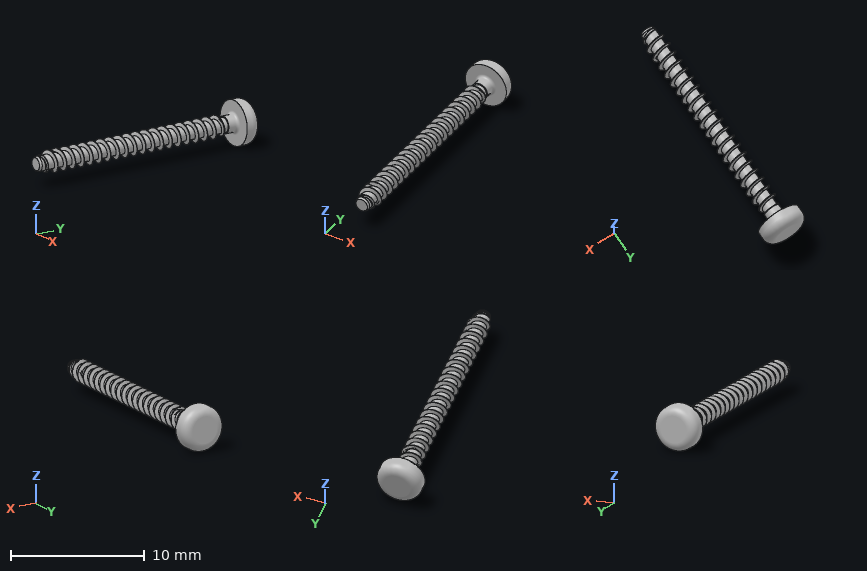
import cadquery as cq
import math


head_diameter = 3.6
head_height = 1.3
head_rounding = 0.72

neck_diameter = 1.36
neck_length = 0.9
neck_fillet = 0.25

shank_length = 18.0
core_diameter = 1.18
tip_diameter = 1.02
tip_taper_length = 0.2

thread_diameter = 1.8
pitch = 0.8
root_width = 0.24
crest_width = 0.04
thread_embed = 0.05
thread_start = 0.6
thread_end = 17.8
runin_length = 1.0
runout_length = 0.9
envelope_margin = 0.02
envelope_clearance = 0.1

head_radius = head_diameter / 2
neck_radius = neck_diameter / 2
core_radius = core_diameter / 2
tip_radius = tip_diameter / 2
thread_radius = thread_diameter / 2


def make_head():
    head = cq.Workplane("XY").circle(head_radius).extrude(-head_height)
    return head.faces("<Z").edges().fillet(head_rounding)


def make_shank():
    """Neck, core and tapered tip as one revolved body, filleted into the head."""
    fillet_center = (neck_radius + neck_fillet, neck_fillet)
    fillet_reach = neck_fillet * math.sin(math.radians(45))
    fillet_middle = (fillet_center[0] - fillet_reach, fillet_center[1] - fillet_reach)
    return (
        cq.Workplane("XZ")
        .moveTo(0, 0)
        .lineTo(neck_radius + neck_fillet, 0)
        .threePointArc(fillet_middle, (neck_radius, neck_fillet))
        .lineTo(neck_radius, neck_length)
        .lineTo(core_radius, neck_length)
        .lineTo(core_radius, shank_length - tip_taper_length)
        .lineTo(tip_radius, shank_length)
        .lineTo(0, shank_length)
        .close()
        .revolve(360, (0, 0, 0), (0, 1, 0))
    )


def make_thread_envelope():
    """Body of revolution whose coned ends make the thread fade in and out.

    Between the cones it stands clear of the crest, and it fades to just inside the core.
    """
    inner_radius = core_radius - envelope_margin
    outer_radius = thread_radius + envelope_clearance
    cone_stretch = (outer_radius - inner_radius) / (thread_radius - core_radius)
    return (
        cq.Workplane("XZ")
        .polyline([
            (0, thread_start),
            (inner_radius, thread_start),
            (outer_radius, thread_start + runin_length * cone_stretch),
            (outer_radius, thread_end - runout_length * cone_stretch),
            (inner_radius, thread_end),
            (0, thread_end),
        ])
        .close()
        .revolve(360, (0, 0, 0), (0, 1, 0))
    )


def helix_edge(radius, axial_offset):
    """Right-handed helix along the whole thread, starting on the +X side."""
    start_point = cq.Vector(0, 0, thread_start + axial_offset)
    helix = cq.Wire.makeHelix(pitch, thread_end - thread_start, radius, center=start_point)
    return helix.Edges()[0]


def make_ridge():
    """Trapezoidal helical ridge bounded by four ruled faces and two flat ends."""
    root_radius = core_radius - thread_embed
    edges = [
        helix_edge(root_radius, -root_width / 2),
        helix_edge(thread_radius, -crest_width / 2),
        helix_edge(thread_radius, crest_width / 2),
        helix_edge(root_radius, root_width / 2),
    ]
    faces = []
    for index, edge in enumerate(edges):
        faces.append(cq.Face.makeRuledSurface(edges[index - 1], edge))
    for end in (0, 1):
        corners = [edge.positionAt(end) for edge in edges]
        faces.append(cq.Face.makeFromWires(cq.Wire.makePolygon(corners, close=True)))
    return cq.Workplane(cq.Solid.makeSolid(cq.Shell.makeShell(faces)))


def make_thread():
    """Ridge trimmed so that it rises out of the neck and fades into the tip."""
    return make_ridge().intersect(make_thread_envelope())


screw = make_shank().union(make_thread()).union(make_head())
screw_solid = screw.solids().val()
result = cq.Workplane(screw_solid.rotate(cq.Vector(0, 0, 0), cq.Vector(1, 0, 0), 90))